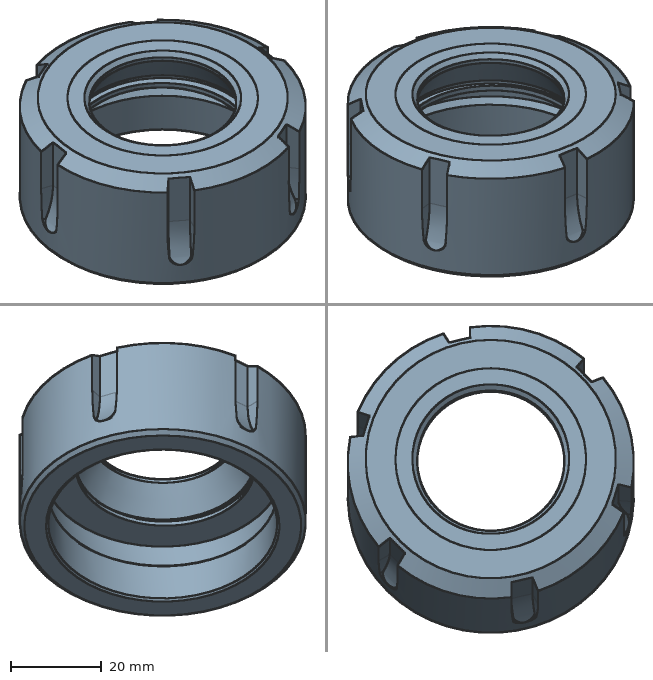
import cadquery as cq
import math

outer_radius = 31.5
height = 28.3
top_chamfer_width = 4.0
top_chamfer_height = 2.25
bottom_chamfer = 1.0

seat_radius = 21.0
ledge_radius = 19.7
ledge_offset = 0.6
ledge_depth = 10.4
ledge_thickness = 1.25
relief_radius = 26.5
relief_bottom_depth = 17.2
thread_radius = 25.2
thread_chamfer = 0.5

ring_height = 9.15
ring_bore_radius = 16.2
ring_chamfer = 1.1
ring_lip_depth = 2.0
ring_cone_angle = 30

slot_count = 6
slot_floor_radius = 28.55
slot_floor_width = 4.8
slot_rim_width = 6.05
slot_bottom = 5.85
slot_runout_start = 15.8
slot_end_radius = 2.65
slot_end_blend = 1.9
cutter_overrun = 2.5


def revolved(profile):
    """Revolve a closed (radius, z) outline about the Z axis."""
    return cq.Workplane("XZ").polyline(profile).close().revolve(360, (0, 0), (0, 1))


def make_nut_blank():
    ledge_z = height - ledge_depth
    ledge_bottom = ledge_z - ledge_thickness
    relief_bottom = height - relief_bottom_depth
    relief_taper = relief_radius - thread_radius
    ledge_blank_radius = ledge_radius - ledge_offset
    blank = revolved([
        (outer_radius - bottom_chamfer, 0),
        (outer_radius, bottom_chamfer),
        (outer_radius, height - top_chamfer_height),
        (outer_radius - top_chamfer_width, height),
        (seat_radius, height),
        (seat_radius, ledge_z),
        (ledge_blank_radius, ledge_z),
        (ledge_blank_radius, ledge_bottom),
        (relief_radius, ledge_bottom),
        (relief_radius, relief_bottom),
        (thread_radius, relief_bottom - relief_taper),
        (thread_radius, thread_chamfer),
        (thread_radius + thread_chamfer, 0),
    ])
    ledge_bore = (
        cq.Workplane("XY", origin=(0, -ledge_offset, ledge_bottom))
        .circle(ledge_radius)
        .extrude(ledge_thickness)
    )
    return blank.cut(ledge_bore)


def make_slot_cutter():
    """Flared slot on the +X side with a curved runout and a rounded lower end."""
    depth = outer_radius - slot_floor_radius
    run = slot_runout_start - slot_bottom
    runout_radius = (run**2 + depth**2) / (2 * depth)
    runout_angle = math.degrees(math.asin(run / runout_radius))
    far_depth = depth + cutter_overrun
    top = height + cutter_overrun

    flare = (slot_rim_width - slot_floor_width) / 2 / depth
    floor_half = slot_floor_width / 2
    far_half = floor_half + flare * far_depth
    section_points = [
        (0, -floor_half),
        (far_depth, -far_half),
        (far_depth, far_half),
        (0, floor_half),
    ]
    section_plane = cq.Workplane("XY", origin=(slot_floor_radius, 0, slot_runout_start))

    straight = section_plane.polyline(section_points).close().extrude(top - slot_runout_start)
    runout = section_plane.polyline(section_points).close().revolve(
        runout_angle, (runout_radius, 0, 0), (runout_radius, -1, 0)
    )

    end_center = slot_bottom + slot_end_radius
    rounded_end = (
        cq.Workplane("YZ")
        .moveTo(-far_half, top)
        .lineTo(-far_half, end_center + slot_end_blend)
        .lineTo(-slot_end_radius, end_center)
        .threePointArc((0, slot_bottom), (slot_end_radius, end_center))
        .lineTo(far_half, end_center + slot_end_blend)
        .lineTo(far_half, top)
        .close()
        .extrude(outer_radius + cutter_overrun)
    )
    return straight.union(runout).intersect(rounded_end)


def make_nut():
    nut = make_nut_blank()
    cutter = make_slot_cutter()
    for index in range(slot_count):
        nut = nut.cut(cutter.rotate((0, 0, 0), (0, 0, 1), index * 360 / slot_count))
    return nut


def make_bearing_ring():
    ring_bottom = height - ring_height
    lip_bottom = height - ring_lip_depth
    cone_length = ring_height - ring_lip_depth
    cone_end_radius = ring_bore_radius + cone_length * math.tan(math.radians(ring_cone_angle))
    return revolved([
        (seat_radius, ring_bottom),
        (seat_radius, height),
        (ring_bore_radius + ring_chamfer, height),
        (ring_bore_radius, height - ring_chamfer),
        (ring_bore_radius, lip_bottom),
        (cone_end_radius, ring_bottom),
    ])


nut = make_nut()
bearing_ring = make_bearing_ring()
result = cq.Compound.makeCompound([nut.val(), bearing_ring.val()])